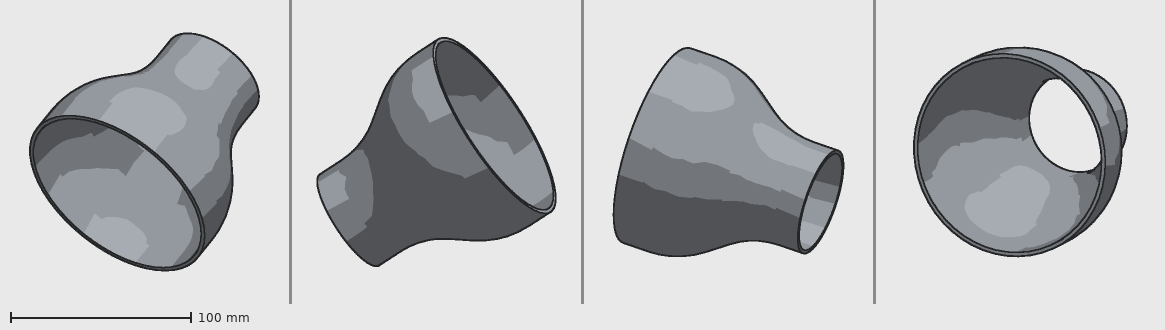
import cadquery as cq
import math

length = 100.0
collar_length = 15.0
large_outer_diameter = 114.3
large_inner_diameter = 109.7
small_outer_diameter = 60.4
small_inner_diameter = 56.3
bend_radius = 50.1

large_wall = (large_outer_diameter - large_inner_diameter) / 2
small_wall = (small_outer_diameter - small_inner_diameter) / 2


def reducer_body(large_radius, small_radius, convex_radius, concave_radius):
    """Solid of revolution: collar, convex bend, straight cone, concave bend, collar."""
    radius_sum = convex_radius + concave_radius
    axial_offset = length - 2 * collar_length
    radial_offset = radius_sum - (large_radius - small_radius)
    cone_length = math.sqrt(axial_offset**2 + radial_offset**2 - radius_sum**2)
    bend_angle = math.atan2(axial_offset, radial_offset) - math.atan2(cone_length, radius_sum)

    def on_convex_bend(angle):
        """Radius and axial place on the bend after turning through angle from the large collar."""
        radius = large_radius - convex_radius * (1 - math.cos(angle))
        return radius, collar_length + convex_radius * math.sin(angle)

    def on_concave_bend(angle):
        """Radius and axial place on the bend after turning through angle from the small collar."""
        radius = small_radius + concave_radius * (1 - math.cos(angle))
        return radius, length - collar_length - concave_radius * math.sin(angle)

    return (
        cq.Workplane("XY")
        .lineTo(large_radius, 0)
        .lineTo(large_radius, collar_length)
        .threePointArc(on_convex_bend(bend_angle / 2), on_convex_bend(bend_angle))
        .lineTo(*on_concave_bend(bend_angle))
        .threePointArc(on_concave_bend(bend_angle / 2), on_concave_bend(0))
        .lineTo(small_radius, length)
        .lineTo(0, length)
        .close()
        .revolve(360, (0, 0, 0), (0, 1, 0))
    )


outer_body = reducer_body(large_outer_diameter / 2, small_outer_diameter / 2, bend_radius, bend_radius)

bore = reducer_body(
    large_inner_diameter / 2,
    small_inner_diameter / 2,
    bend_radius - large_wall,
    bend_radius + small_wall,
)

result = outer_body.cut(bore)